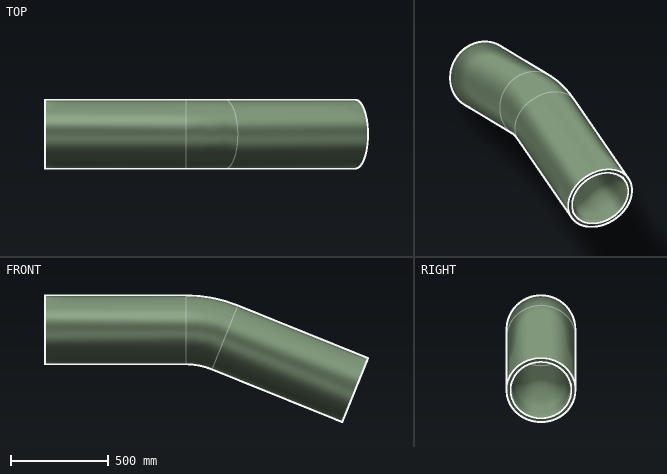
import cadquery as cq
import math

overall_length = 1661.0
outer_diameter = 355.0
inner_diameter = 312.0
bend_angle = 22.0
bend_radius = 1.5 * outer_diameter

outer_radius = outer_diameter / 2
angle = math.radians(bend_angle)

bend_run = (bend_radius + outer_radius) * math.sin(angle)
leg_length = (overall_length - bend_run) / (1 + math.cos(angle))


def bend_point(turn):
    """Point on the centreline arc after turning down by the given angle."""
    x = leg_length + bend_radius * math.sin(turn)
    z = -bend_radius * (1 - math.cos(turn))
    return x, z


bend_end_x, bend_end_z = bend_point(angle)
far_end = (
    bend_end_x + leg_length * math.cos(angle),
    bend_end_z - leg_length * math.sin(angle),
)
centreline = (
    cq.Workplane("XZ")
    .lineTo(leg_length, 0)
    .threePointArc(bend_point(angle / 2), bend_point(angle))
    .lineTo(*far_end)
)

result = (
    cq.Workplane("YZ")
    .circle(outer_radius)
    .circle(inner_diameter / 2)
    .sweep(centreline)
)